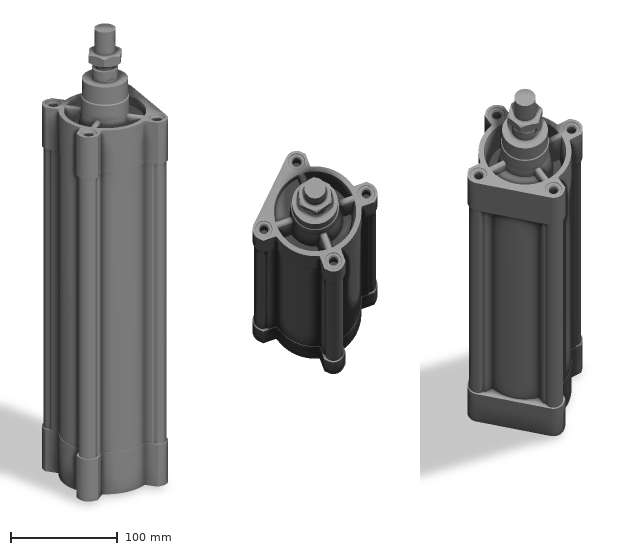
import cadquery as cq
import math

total_height = 467.5
rear_spigot_height = 4.0
cap_height = 43.5
head_face_z = 382.0
head_bottom_z = head_face_z - cap_height
rear_top_z = rear_spigot_height + cap_height
collar_seam_z = 398.5
collar_top_z = 416.0
rod_shoulder_z = 427.5

cap_width = 93.0
cap_body_radius = 43.5
barrel_body_radius = 43.0
lobe_spacing = 72.0
lobe_center = lobe_spacing / 2
notch_fillet = 1.5
barrel_lobe_diameter = 18.2
barrel_arm_inset = 0.5
step_half_width = 42.0
step_outer_x = 30.5

collar_diameter = 45.0
collar_top_diameter = 43.0
collar_chamfer = 1.0

recess_diameter = 77.0
rib_thickness = 6.0
rib_crown = 2.0
recess_depth = 28.0
shallow_pocket_depth = 8.5
recess_draft = math.radians(9)

socket_mouth_diameter = 16.0
socket_diameter = 15.0
socket_depth = 1.0
screw_hole_mouth_diameter = 11.0
screw_hole_diameter = 8.5
screw_hole_depth = 18.5

rod_diameter = 25.0
rod_flat_width = 22.0
rod_flat_clearance = 1.5
rod_flat_bottom_z = collar_top_z + rod_flat_clearance
thread_diameter = 20.0
undercut_diameter = 18.0
undercut_height = 4.0

nut_across_flats = 30.0
nut_height = 10.0
nut_top_z = 443.8
nut_chamfer_angle = math.radians(30)
hexagon_half_angle = 30

same_place = 0.005


def cylinder(diameter, bottom_z, top_z):
    return cq.Workplane("XY").workplane(offset=bottom_z).circle(diameter / 2).extrude(top_z - bottom_z)


def cone(bottom_diameter, bottom_z, top_diameter, top_z):
    return (
        cq.Workplane("XY")
        .workplane(offset=bottom_z)
        .circle(bottom_diameter / 2)
        .workplane(offset=top_z - bottom_z)
        .circle(top_diameter / 2)
        .loft()
    )


def with_four_arms(arm_outline, body_radius, height):
    """Round body with the diagonal arm repeated at each corner and rounded notches between them."""
    arm = arm_outline.close().extrude(height)
    section = cq.Workplane("XY").circle(body_radius).extrude(height)
    for quarter in range(4):
        section = section.union(arm.rotate((0, 0, 0), (0, 0, 1), 90 * quarter))
    notch_edges = section.edges("|Z").filter(
        lambda edge: abs(math.hypot(edge.Center().x, edge.Center().y) - body_radius) < same_place
    )
    return notch_edges.fillet(notch_fillet)


def make_cap(bottom_z):
    """End cap: round body, four screw lobes and a flat port side on +Y."""
    edge = cap_width / 2
    lobe_radius = edge - lobe_center
    half_diagonal = lobe_radius * math.sqrt(2)
    arm_outline = (
        cq.Workplane("XY")
        .moveTo(0, half_diagonal)
        .lineTo(edge - half_diagonal, edge)
        .lineTo(lobe_center, edge)
        .radiusArc((edge, lobe_center), lobe_radius)
        .lineTo(edge, edge - half_diagonal)
        .lineTo(half_diagonal, 0)
    )
    cap = with_four_arms(arm_outline, cap_body_radius, cap_height)
    port_side = cq.Workplane("XY").rect(lobe_spacing, edge, centered=(True, False)).extrude(cap_height)
    return cap.union(port_side).translate((0, 0, bottom_z))


def make_barrel():
    """Barrel between the caps, with a step on both sides of each lobe."""
    height = head_bottom_z - rear_top_z
    lobe_radius = barrel_lobe_diameter / 2
    half_diagonal = (cap_width / 2 - lobe_center - barrel_arm_inset) * math.sqrt(2)
    lobe_offset = step_half_width - lobe_center
    slope_constant = lobe_offset - (step_outer_x - lobe_center)
    lobe_start = (-slope_constant + math.sqrt(2 * lobe_radius**2 - slope_constant**2)) / 2
    start_x = lobe_center + lobe_start
    start_y = lobe_center + lobe_start + slope_constant
    outer = lobe_center + lobe_radius / math.sqrt(2)
    arm_outline = (
        cq.Workplane("XY")
        .moveTo(0, half_diagonal)
        .lineTo(step_half_width - half_diagonal, step_half_width)
        .lineTo(step_outer_x, step_half_width)
        .lineTo(start_x, start_y)
        .threePointArc((outer, outer), (start_y, start_x))
        .lineTo(step_half_width, step_outer_x)
        .lineTo(step_half_width, step_half_width - half_diagonal)
        .lineTo(half_diagonal, 0)
    )
    return with_four_arms(arm_outline, barrel_body_radius, height).translate((0, 0, rear_top_z))


def make_ribs():
    """Two crossed bars on the diagonals with drafted sides and rounded tops."""
    side_spread = (recess_depth - rib_crown) * math.tan(recess_draft)
    half_top = rib_thickness / 2
    half_bottom = half_top + side_spread
    bar = (
        cq.Workplane("XZ")
        .moveTo(-half_bottom, -recess_depth)
        .lineTo(half_bottom, -recess_depth)
        .lineTo(half_top, -rib_crown)
        .threePointArc((0, 0), (-half_top, -rib_crown))
        .close()
        .extrude(recess_diameter / 2, both=True)
        .translate((0, 0, head_face_z))
    )
    return bar.rotate((0, 0, 0), (0, 0, 1), 45).union(bar.rotate((0, 0, 0), (0, 0, 1), -45))


def make_shallow_floor():
    """Quarter on the +Y side that raises the floor of one pocket."""
    reach = recess_diameter / 2
    return (
        cq.Workplane("XY")
        .workplane(offset=head_face_z - recess_depth)
        .polyline([(0, 0), (reach, reach), (-reach, reach)])
        .close()
        .extrude(recess_depth - shallow_pocket_depth)
    )


def make_recess():
    """Drafted ring around the collar, less the ribs and the raised floor."""
    floor_z = head_face_z - recess_depth
    spread = 2 * recess_depth * math.tan(recess_draft)
    ring = cone(recess_diameter - spread, floor_z, recess_diameter, head_face_z)
    ring = ring.cut(cone(collar_diameter + spread, floor_z, collar_diameter, head_face_z))
    return ring.cut(make_ribs()).cut(make_shallow_floor())


def make_screw_sockets():
    floor_z = head_face_z - socket_depth
    hole_chamfer = (screw_hole_mouth_diameter - screw_hole_diameter) / 2
    socket = cone(socket_diameter, floor_z, socket_mouth_diameter, head_face_z)
    socket = socket.union(cone(screw_hole_diameter, floor_z - hole_chamfer, screw_hole_mouth_diameter, floor_z))
    socket = socket.union(cylinder(screw_hole_diameter, floor_z - screw_hole_depth, floor_z))
    sockets = cq.Workplane("XY")
    for x in (-lobe_center, lobe_center):
        for y in (-lobe_center, lobe_center):
            sockets = sockets.add(socket.translate((x, y, 0)))
    return sockets


def make_collar():
    """Bearing collar above the head with a slightly thinner top section."""
    lower = cylinder(collar_diameter, head_face_z, collar_seam_z).faces(">Z").edges()
    lower = lower.chamfer(collar_chamfer)
    return lower.union(cylinder(collar_top_diameter, collar_seam_z, collar_top_z))


def make_housing():
    housing = make_barrel()
    housing = housing.union(make_cap(rear_spigot_height)).union(make_cap(head_bottom_z))
    rear_spigot = cylinder(collar_diameter, 0, rear_spigot_height).faces("<Z").edges()
    rear_spigot = rear_spigot.chamfer(collar_chamfer)
    housing = housing.union(rear_spigot)
    housing = housing.cut(make_recess())
    housing = housing.union(make_collar())
    for socket in make_screw_sockets().vals():
        housing = housing.cut(cq.Workplane(socket))
    return housing.cut(cylinder(rod_diameter, head_bottom_z, collar_top_z))


def make_rod():
    """Piston rod with wrench flats, thread undercut and threaded end."""
    undercut_top_z = rod_shoulder_z + undercut_height
    rod = cylinder(rod_diameter, head_bottom_z, rod_flat_bottom_z)
    flats = (
        cq.Workplane("XY")
        .workplane(offset=rod_flat_bottom_z)
        .rect(rod_flat_width, rod_diameter)
        .extrude(rod_shoulder_z - rod_flat_bottom_z)
        .intersect(cylinder(rod_diameter, rod_flat_bottom_z, rod_shoulder_z))
    )
    rod = rod.union(flats)
    rod = rod.union(cylinder(undercut_diameter, rod_shoulder_z, undercut_top_z))
    thread_chamfer = (thread_diameter - undercut_diameter) / 2
    thread_start_z = undercut_top_z + thread_chamfer
    rod = rod.union(cone(undercut_diameter, undercut_top_z, thread_diameter, thread_start_z))
    return rod.union(cylinder(thread_diameter, thread_start_z, total_height))


def make_nut():
    """Hexagonal lock nut with flats facing +X and -X and both ends chamfered."""
    across_corners = nut_across_flats / math.cos(math.radians(hexagon_half_angle))
    chamfer_width = (across_corners - nut_across_flats) / 2
    chamfer_height = chamfer_width * math.tan(nut_chamfer_angle)
    hexagon = cq.Workplane("XY").polygon(6, across_corners).extrude(nut_height)
    hexagon = hexagon.rotate((0, 0, 0), (0, 0, 1), hexagon_half_angle)
    envelope = (
        cq.Workplane("XY")
        .circle(across_corners / 2)
        .extrude(nut_height)
        .edges()
        .chamfer(chamfer_height, chamfer_width)
    )
    nut = hexagon.intersect(envelope).cut(cylinder(thread_diameter, 0, nut_height))
    return nut.translate((0, 0, nut_top_z - nut_height))


housing = make_housing()
rod = make_rod()
nut = make_nut()
result = cq.Compound.makeCompound([*housing.solids().vals(), *rod.solids().vals(), *nut.solids().vals()])